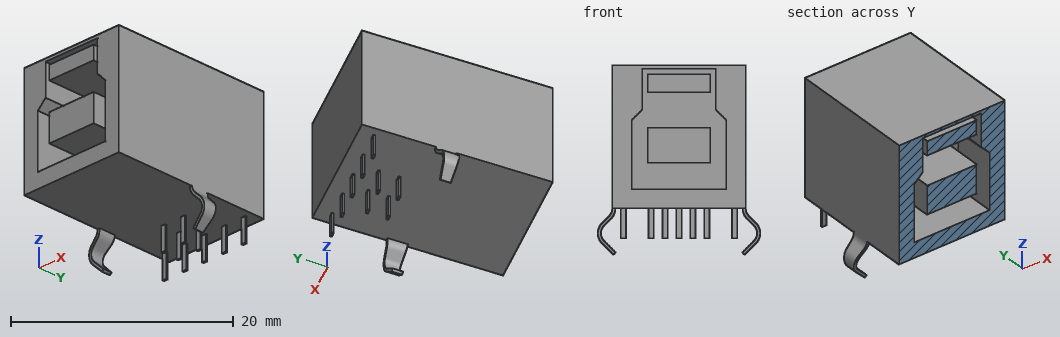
import cadquery as cq
import math

body_width = 12.0
body_length = 18.45
body_height = 12.86
front_y = -body_length / 2

socket_width = 8.5
socket_neck_width = 6.57
socket_bottom = 1.73
socket_shoulder_bottom = 7.92
socket_shoulder_top = 8.87
socket_top = 12.5
socket_depth = 9.22

tongue_width = 5.6
lower_tongue_bottom = 4.08
lower_tongue_top = 7.25
upper_tongue_bottom = 10.45
upper_tongue_top = 12.03

pin_width = 0.5
pin_thickness = 0.2
pin_length = 2.7
outer_pin_x = 5.0
pin_pitch = outer_pin_x / 2
row_spacing = 1.97
rear_row_y = 7.73

clip_thickness = 0.3
clip_y = 1.07
clip_root_width = 2.0
clip_tip_width = 1.0
clip_drop = 4.17
clip_span = 14.6
clip_reach = clip_span / 2
bend_radius = 1.13
bend_angle = math.radians(45)


def socket_cutter():
    """Opening with a narrower neck above two sloping shoulders."""
    half_width = socket_width / 2
    half_neck = socket_neck_width / 2
    return (
        cq.Workplane("XZ", origin=(0, front_y, 0))
        .moveTo(-half_width, socket_bottom)
        .lineTo(half_width, socket_bottom)
        .lineTo(half_width, socket_shoulder_bottom)
        .lineTo(half_neck, socket_shoulder_top)
        .lineTo(half_neck, socket_top)
        .lineTo(-half_neck, socket_top)
        .lineTo(-half_neck, socket_shoulder_top)
        .lineTo(-half_width, socket_shoulder_bottom)
        .close()
        .extrude(-socket_depth)
    )


def tongue(bottom, top):
    """Block from the socket's back wall to the mating face."""
    return cq.Workplane("XY", origin=(0, front_y, bottom)).box(
        tongue_width, socket_depth, top - bottom, centered=(True, False, False)
    )


def pin(x, y):
    return cq.Workplane("XY", origin=(x, y, -pin_length)).box(
        pin_width, pin_thickness, pin_length, centered=(True, True, False)
    )


def right_clip():
    """S-shaped strip on the +X side, trimmed to a taper across Y."""
    half = clip_thickness / 2
    sine = math.sin(bend_angle)
    cosine = math.cos(bend_angle)

    root_x = body_width / 2 - half + bend_radius
    belly_x = clip_reach - half - bend_radius
    belly_start_x = belly_x + bend_radius * cosine
    root_end_x = root_x - bend_radius * cosine
    ramp_drop = (belly_start_x - root_end_x) * math.tan(bend_angle)
    belly_z = -2 * bend_radius * sine - ramp_drop

    tip_z = half * sine - clip_drop
    belly_end_z = belly_z - bend_radius * sine
    tip_x = belly_start_x - (belly_end_z - tip_z) / math.tan(bend_angle)

    def on_root(angle, offset):
        radius = bend_radius - offset
        return (root_x - radius * math.cos(angle), -radius * math.sin(angle))

    def on_belly(angle, offset):
        radius = bend_radius + offset
        return (belly_x + radius * math.cos(angle), belly_z + radius * math.sin(angle))

    def tip_corner(offset):
        return (tip_x + offset * cosine, tip_z - offset * sine)

    strip = (
        cq.Workplane("XZ", origin=(0, clip_y + clip_root_width / 2, 0))
        .moveTo(*on_root(0, half))
        .threePointArc(on_root(bend_angle / 2, half), on_root(bend_angle, half))
        .lineTo(*on_belly(bend_angle, half))
        .threePointArc(on_belly(0, half), on_belly(-bend_angle, half))
        .lineTo(*tip_corner(half))
        .lineTo(*tip_corner(-half))
        .lineTo(*on_belly(-bend_angle, -half))
        .threePointArc(on_belly(0, -half), on_belly(bend_angle, -half))
        .lineTo(*on_root(bend_angle, -half))
        .threePointArc(on_root(bend_angle / 2, -half), on_root(0, -half))
        .close()
        .extrude(clip_root_width)
    )
    taper = (
        cq.Workplane("YZ")
        .moveTo(clip_y - clip_root_width / 2, 0)
        .lineTo(clip_y + clip_root_width / 2, 0)
        .lineTo(clip_y + clip_tip_width / 2, -clip_drop)
        .lineTo(clip_y - clip_tip_width / 2, -clip_drop)
        .close()
        .extrude(clip_reach)
    )
    return strip.intersect(taper)


result = cq.Workplane("XY").box(
    body_width, body_length, body_height, centered=(True, True, False)
)
result = result.cut(socket_cutter())
result = result.union(tongue(lower_tongue_bottom, lower_tongue_top))
result = result.union(tongue(upper_tongue_bottom, upper_tongue_top))

pin_rows = [(-2, -1, 0, 1, 2), (-0.5, 0.5), (-0.5, 0.5)]
for row, columns in enumerate(pin_rows):
    for column in columns:
        result = result.union(pin(column * pin_pitch, rear_row_y - row * row_spacing))

clip = right_clip()
result = result.union(clip).union(clip.mirror("YZ"))